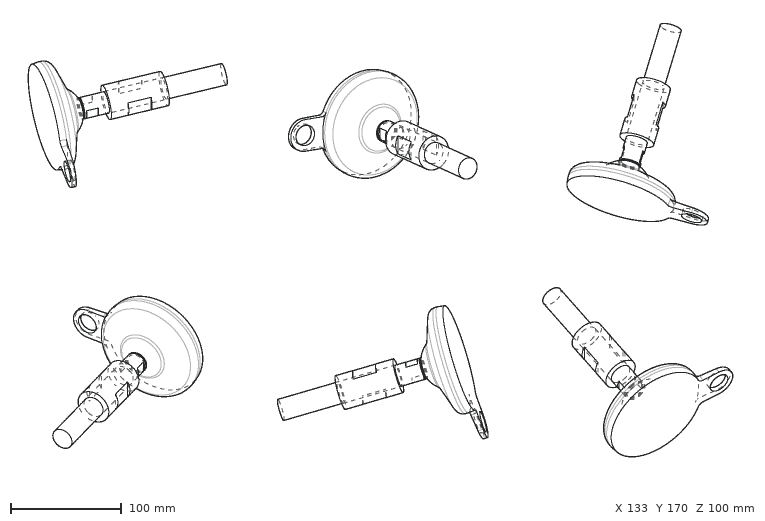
import cadquery as cq
import math


RIM_RADIUS = 50.0
UNDERSIDE_RADIUS = 49.2
SHOULDER_RADIUS = 49.9
PARTING_HEIGHT = 6.2
SHOULDER_ROUNDING = 7.0
CONE_ANGLE = 20.0
CONE_CREST_HEIGHT = 24.5
WAIST_ROUNDING = 5.0

DOME_RADIUS = 26.0
NECK_RADIUS = 10.0
DOME_TOP_HEIGHT = 33.7
NECK_BAND_HEIGHT = 34.3
NECK_HEIGHT = 35.3
NECK_TOP_RADIUS = 8.5

LUG_RADIUS = 15.0
LUG_CENTRE_X = 68.0
LUG_HOLE_DIAMETER = 19.0
LUG_TIP_HEIGHT = 4.0
LUG_ROOT_FILLET = 5.0

TOTAL_HEIGHT = 170.0
SPINDLE_DIAMETER = 20.0
SPINDLE_FLATS_WIDTH = 17.0
SPINDLE_FLATS_BOTTOM = 37.2
SPINDLE_FLATS_LENGTH = 11.0

SLEEVE_DIAMETER = 32.0
SLEEVE_BOTTOM = 58.3
SLEEVE_LENGTH = 55.0
SLEEVE_FLATS_WIDTH = 27.0
SLEEVE_FLATS_LENGTH = 22.0


def cylinder(diameter, bottom, top):
    """Solid cylinder on the Y axis between two heights."""
    base = cq.Workplane("XZ", origin=(0, bottom, 0))
    return base.circle(diameter / 2).extrude(bottom - top)


def cut_flats(body, diameter, width, bottom, length):
    """Mill a pair of wrench flats facing -X and +X."""
    depth = (diameter - width) / 2
    for side in (-1, 1):
        cutter = cq.Workplane("XY").box(depth, length, diameter)
        middle = side * (width + depth) / 2
        body = body.cut(cutter.translate((middle, bottom + length / 2, 0)))
    return body


def make_rim():
    """Tapered lower edge of the plate, from the underside to the parting line."""
    profile = (
        cq.Workplane("XY")
        .lineTo(UNDERSIDE_RADIUS, 0)
        .lineTo(RIM_RADIUS, PARTING_HEIGHT)
        .lineTo(0, PARTING_HEIGHT)
        .close()
    )
    return profile.revolve(360, (0, 0, 0), (0, 1, 0))


def make_rim_with_lug():
    """Rim with the fixing lug: filleted root, sloping top and a round hole."""
    rim = make_rim()
    lug = (
        cq.Workplane("XZ")
        .moveTo(0, -LUG_RADIUS)
        .lineTo(LUG_CENTRE_X, -LUG_RADIUS)
        .threePointArc((LUG_CENTRE_X + LUG_RADIUS, 0), (LUG_CENTRE_X, LUG_RADIUS))
        .lineTo(0, LUG_RADIUS)
        .close()
        .extrude(-PARTING_HEIGHT)
    )
    body = rim.union(lug)

    root_x = math.sqrt(RIM_RADIUS**2 - LUG_RADIUS**2)
    reach = RIM_RADIUS - root_x
    root_boxes = [
        cq.selectors.BoxSelector(
            (root_x - 2 * reach, -reach, side * LUG_RADIUS - reach),
            (root_x + reach, PARTING_HEIGHT - reach / 2, side * LUG_RADIUS + reach),
        )
        for side in (-1, 1)
    ]
    body = body.edges(root_boxes[0] + root_boxes[1]).fillet(LUG_ROOT_FILLET)

    tip_x = LUG_CENTRE_X + LUG_RADIUS
    above_lug = (
        cq.Workplane("XY")
        .moveTo(UNDERSIDE_RADIUS, PARTING_HEIGHT)
        .lineTo(tip_x, LUG_TIP_HEIGHT)
        .lineTo(tip_x, PARTING_HEIGHT)
        .close()
        .extrude(2 * LUG_RADIUS, both=True)
        .cut(rim)
    )
    hole = (
        cq.Workplane("XZ")
        .center(LUG_CENTRE_X, 0)
        .circle(LUG_HOLE_DIAMETER / 2)
        .extrude(-PARTING_HEIGHT)
    )
    return body.cut(above_lug).cut(hole)


def make_upper_foot():
    """Rounded shoulder, conical top, spherical dome and tapered neck of the foot."""
    dome_centre = DOME_TOP_HEIGHT - math.sqrt(DOME_RADIUS**2 - NECK_RADIUS**2)

    def dome_point(height):
        return math.sqrt(DOME_RADIUS**2 - (height - dome_centre) ** 2), height

    crest = dome_point(CONE_CREST_HEIGHT)
    cone_drop = (SHOULDER_RADIUS - crest[0]) * math.tan(math.radians(CONE_ANGLE))
    shoulder_height = CONE_CREST_HEIGHT - cone_drop
    profile = (
        cq.Workplane("XY")
        .moveTo(0, PARTING_HEIGHT)
        .lineTo(RIM_RADIUS, PARTING_HEIGHT)
        .lineTo(SHOULDER_RADIUS, shoulder_height)
        .lineTo(*crest)
        .threePointArc(
            dome_point((CONE_CREST_HEIGHT + DOME_TOP_HEIGHT) / 2),
            (NECK_RADIUS, DOME_TOP_HEIGHT),
        )
        .lineTo(NECK_RADIUS, NECK_BAND_HEIGHT)
        .lineTo(NECK_TOP_RADIUS, NECK_HEIGHT)
        .lineTo(0, NECK_HEIGHT)
        .close()
    )
    body = profile.revolve(360, (0, 0, 0), (0, 1, 0))

    def circle_at(radius, height):
        near = 0.1
        return cq.selectors.BoxSelector(
            (-radius - near, height - near, -radius - near),
            (radius + near, height + near, radius + near),
            boundingbox=True,
        )

    body = body.edges(circle_at(SHOULDER_RADIUS, shoulder_height)).fillet(SHOULDER_ROUNDING)
    return body.edges(circle_at(*crest)).fillet(WAIST_ROUNDING)


def make_foot():
    return make_rim_with_lug().union(make_upper_foot())


def make_spindle():
    """Round spindle resting on the neck, with wrench flats near its foot."""
    rod = cylinder(SPINDLE_DIAMETER, NECK_HEIGHT, TOTAL_HEIGHT)
    return cut_flats(
        rod, SPINDLE_DIAMETER, SPINDLE_FLATS_WIDTH, SPINDLE_FLATS_BOTTOM, SPINDLE_FLATS_LENGTH
    )


def make_sleeve():
    """Sleeve around the spindle, with wrench flats halfway along it."""
    top = SLEEVE_BOTTOM + SLEEVE_LENGTH
    tube = cylinder(SLEEVE_DIAMETER, SLEEVE_BOTTOM, top).cut(
        cylinder(SPINDLE_DIAMETER, SLEEVE_BOTTOM, top)
    )
    flats_bottom = SLEEVE_BOTTOM + (SLEEVE_LENGTH - SLEEVE_FLATS_LENGTH) / 2
    return cut_flats(
        tube, SLEEVE_DIAMETER, SLEEVE_FLATS_WIDTH, flats_bottom, SLEEVE_FLATS_LENGTH
    )


foot = make_foot()
spindle = make_spindle()
sleeve = make_sleeve()

result = cq.Compound.makeCompound([foot.val(), spindle.val(), sleeve.val()])